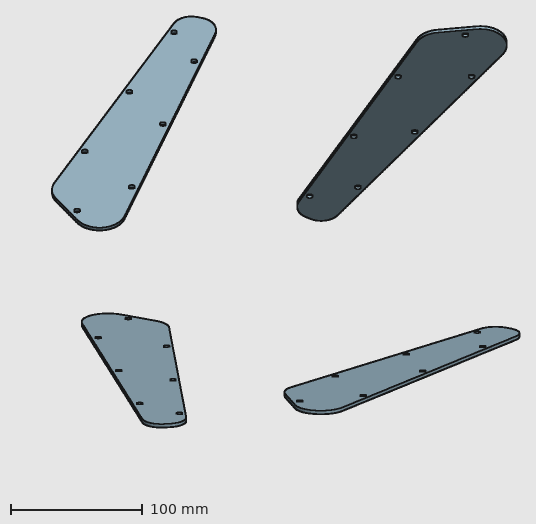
import cadquery as cq
import math

width = 63.0
length = 266.2
thickness = 3.0

bottom_radius = 20.0
top_radius = 15.0
left_corner_y = 40.0
edge_lean = math.radians(7.9)

hole_diameter = 4.5
right_hole_inset = 5.3
right_hole_start_y = 55.4
right_hole_pitch = 79.5
left_hole_start = (11.0, 85.7)
left_hole_pitch = 79.5
bottom_hole = (26.5, 15.7)
holes_per_edge = 3


def point_on_arc(center, radius, angle):
    """Point on a corner arc at an angle measured from +X."""
    return (center[0] + radius * math.cos(angle), center[1] + radius * math.sin(angle))


def build_plate():
    """Plate whose straight edges are tangent to its four corner arcs."""
    bottom_center = (width - bottom_radius, bottom_radius)
    left_center = (bottom_radius, left_corner_y)
    top_y = length - top_radius
    top_right_center = (width - top_radius, top_y)

    rise = top_y - left_corner_y
    run = (rise * math.sin(edge_lean) + top_radius - bottom_radius) / math.cos(edge_lean)
    top_left_center = (left_center[0] + run, top_y)

    lean_normal = math.pi - edge_lean
    diagonal_normal = math.pi / 2 + math.atan2(
        left_center[1] - bottom_center[1], left_center[0] - bottom_center[0]
    )

    def arc_points(center, radius, start, end):
        return [point_on_arc(center, radius, a) for a in (start, (start + end) / 2, end)]

    corners = [
        arc_points(top_right_center, top_radius, math.pi / 2, 0),
        arc_points(bottom_center, bottom_radius, 0, diagonal_normal - 2 * math.pi),
        arc_points(left_center, bottom_radius, diagonal_normal, lean_normal),
        arc_points(top_left_center, top_radius, lean_normal, math.pi / 2),
    ]
    outline = cq.Workplane("XY").moveTo(*corners[0][0])
    for index, (start, middle, end) in enumerate(corners):
        if index > 0:
            outline = outline.lineTo(*start)
        outline = outline.threePointArc(middle, end)
    return outline.close().extrude(thickness)


def hole_positions():
    """Rows along the two long edges, plus one hole by the diagonal edge."""
    positions = [bottom_hole]
    for index in range(holes_per_edge):
        positions.append((width - right_hole_inset, right_hole_start_y + index * right_hole_pitch))
        along = index * left_hole_pitch
        positions.append((
            left_hole_start[0] + along * math.sin(edge_lean),
            left_hole_start[1] + along * math.cos(edge_lean),
        ))
    return positions


holes = cq.Workplane("XY").pushPoints(hole_positions()).circle(hole_diameter / 2).extrude(thickness)
result = build_plate().cut(holes)